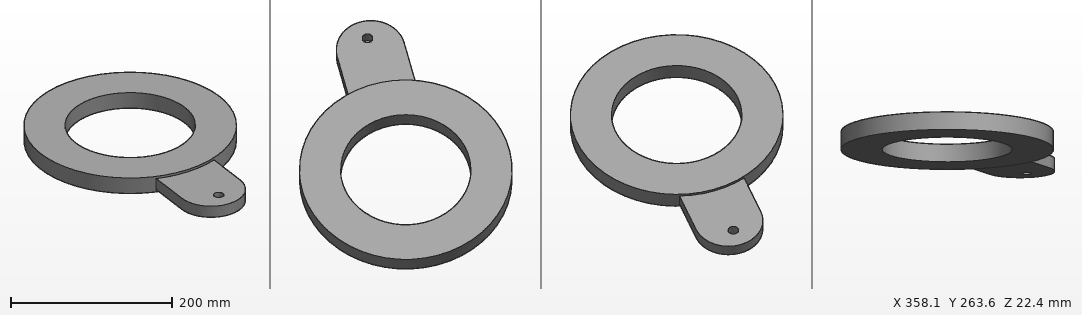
import cadquery as cq

ring_outer_diameter = 263.65
ring_bore_diameter = 161.5
ring_thickness = 22.35

overall_length = 358.07
handle_width = 85.5
handle_thickness = 16.0
handle_hole_diameter = 12.7
hole_to_handle_tip = 25.4

ring_outer_radius = ring_outer_diameter / 2
ring_mid_radius = (ring_outer_diameter + ring_bore_diameter) / 4
handle_end_radius = handle_width / 2
handle_tip_x = overall_length - ring_outer_radius
handle_arc_center_x = handle_tip_x - handle_end_radius


def make_ring():
    """Flat ring centred on the XY plane."""
    return (
        cq.Workplane("XY")
        .circle(ring_outer_radius)
        .circle(ring_bore_diameter / 2)
        .extrude(ring_thickness / 2, both=True)
    )


def make_handle():
    """Round-ended tab that starts inside the solid band of the ring."""
    return (
        cq.Workplane("XY")
        .moveTo(ring_mid_radius, -handle_end_radius)
        .lineTo(handle_arc_center_x, -handle_end_radius)
        .threePointArc((handle_tip_x, 0), (handle_arc_center_x, handle_end_radius))
        .lineTo(ring_mid_radius, handle_end_radius)
        .close()
        .extrude(handle_thickness / 2, both=True)
    )


def make_handle_hole():
    """Through hole near the tip of the handle."""
    return (
        cq.Workplane("XY")
        .center(handle_tip_x - hole_to_handle_tip, 0)
        .circle(handle_hole_diameter / 2)
        .extrude(handle_thickness, both=True)
    )


result = make_ring().union(make_handle()).cut(make_handle_hole())